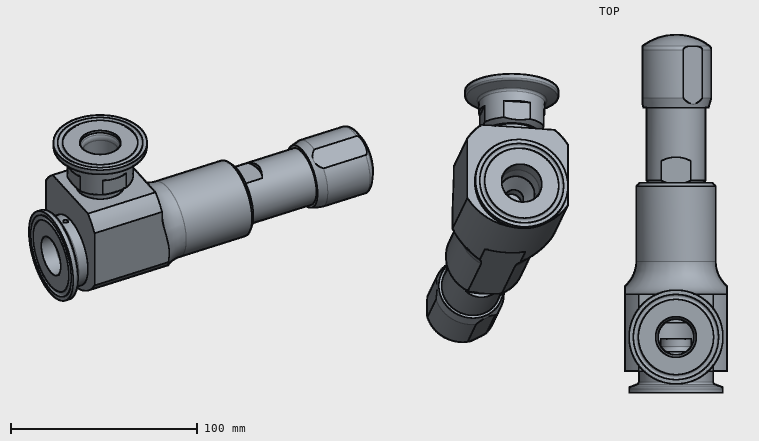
import cadquery as cq
import math


overall_length = 192.5
outlet_height = 65.0
outlet_y = 30.0
block_front = 11.7
block_rear = 53.0
housing_end = 113.0
cap_base = 153.2

flange_radius = 25.2
rim_thickness = 3.0
back_angle = 20.0
rim_round = 1.2
neck_round = 1.5
groove_center_radius = 21.5
groove_section_radius = 1.3
port_radius = 11.0
bore_radius = 9.6

inlet_neck_radius = 20.0
inlet_port_depth = 8.3
inlet_cone_start = 14.5
inlet_cone_end = 22.5
nozzle_bore_radius = 5.0
nozzle_radius = 8.0
nozzle_tip = 29.0
nozzle_root_round = 2.9
chamber_radius = 14.8
chamber_front = 22.1
chamber_rear = 37.7
weep_hole_radius = 1.3
weep_hole_y = 8.9
weep_hole_depth = 3.8

block_round_radius = 32.5
block_round_z = 11.4
block_width = 55.0
block_top = 37.0
barrel_radius = 21.4
barrel_chamfer = 2.0
shoulder_radius = 17.9
underside_flat_z = -19.2
underside_flat_start = 50.0

collar_radius = 17.7
collar_base = 43.1
collar_tip_radius = 14.2
collar_tip = 41.0
spigot_radius = 13.0
wrench_flat_distance = 16.2
wrench_flat_top = 52.5
outlet_port_depth = 1.5
outlet_cone_radius = 10.4
outlet_cone_end = 2.3
outlet_throat = 5.4

bonnet_radius = 16.0
bonnet_chamfer = 1.2
bonnet_flat_distance = 13.9
bonnet_flat_side = 124.5
bonnet_flat_crown = 126.7

cap_radius = 19.0
cap_base_radius = 17.5
cap_cone_end = 158.5
dome_radius = 29.8
cap_edge_round = 2.9
cap_flat_distance = 18.0
cap_flat_angles = (60, 180, 300)


def turned_about_y(profile):
    """Revolve a closed XY profile (radius, position) about the Y axis."""
    return profile.close().revolve(360, (0, 0, 0), (0, 1, 0))


def y_cylinder(radius, start, end):
    return cq.Workplane("XZ", origin=(0, start, 0)).circle(radius).extrude(start - end)


def box_between(low, high):
    size = [b - a for a, b in zip(low, high)]
    return cq.Workplane("XY").box(*size, centered=False).translate(low)


def round_circle(body, position, radius):
    """Fillet the circular edge centred on the Y axis at this position."""
    slack = 0.1
    low = (-slack, position - slack, -slack)
    high = (slack, position + slack, slack)
    return body.edges(cq.selectors.BoxSelector(low, high)).fillet(radius)


def clamp_ferrule(neck_radius, length):
    """Clamp flange with its neck; the face is at Y = 0 and the neck runs toward +Y."""
    back_rise = (flange_radius - neck_radius) * math.tan(math.radians(back_angle))
    neck_start = rim_thickness + back_rise
    blank = turned_about_y(
        cq.Workplane("XY").polyline([
            (0, 0),
            (flange_radius, 0),
            (flange_radius, rim_thickness),
            (neck_radius, neck_start),
            (neck_radius, length),
            (0, length),
        ])
    )
    blank = round_circle(blank, neck_start, neck_round)
    blank = round_circle(blank, rim_thickness, rim_round)
    groove = (
        cq.Workplane("XY").center(groove_center_radius, 0).circle(groove_section_radius)
        .revolve(360, (-groove_center_radius, 0, 0), (-groove_center_radius, 1, 0))
    )
    return blank.cut(groove)


def make_block():
    """Round bar with flat sides and top, running back under the shoulder and barrel."""
    bar = cq.Workplane("XZ", origin=(0, block_front, 0)).center(0, block_round_z)
    bar = bar.circle(block_round_radius).extrude(block_front - housing_end)
    half_width = block_width / 2
    envelope = box_between(
        (-half_width, block_front, block_round_z - block_round_radius),
        (half_width, housing_end, block_top),
    )
    section = bar.intersect(envelope)
    block = section.intersect(y_cylinder(overall_length, block_front, block_rear))

    shoulder_end = block_rear + shoulder_radius
    diagonal = shoulder_radius * (1 - math.sqrt(0.5))
    barrel = turned_about_y(
        cq.Workplane("XY")
        .moveTo(0, block_rear)
        .lineTo(barrel_radius + shoulder_radius, block_rear)
        .threePointArc((barrel_radius + diagonal, block_rear + diagonal), (barrel_radius, shoulder_end))
        .lineTo(barrel_radius, housing_end - barrel_chamfer)
        .lineTo(barrel_radius - barrel_chamfer, housing_end)
        .lineTo(0, housing_end)
    )
    return block.union(barrel.intersect(section))


def underside_flat():
    """Flat milled under the barrel, with a 45 degree run-out at the block."""
    depth = barrel_radius
    return (
        cq.Workplane("YZ")
        .polyline([
            (underside_flat_start, underside_flat_z),
            (housing_end, underside_flat_z),
            (housing_end, underside_flat_z - depth),
            (underside_flat_start - depth, underside_flat_z - depth),
        ])
        .close().extrude(block_width / 2, both=True)
    )


def valve_chamber():
    """Chamber around the nozzle, whose outside flares into the chamber floor."""
    root_end = chamber_front + nozzle_root_round
    diagonal = nozzle_root_round * (1 - math.sqrt(0.5))
    return turned_about_y(
        cq.Workplane("XY")
        .moveTo(0, nozzle_tip)
        .lineTo(nozzle_radius, nozzle_tip)
        .lineTo(nozzle_radius, root_end)
        .threePointArc(
            (nozzle_radius + diagonal, chamber_front + diagonal),
            (nozzle_radius + nozzle_root_round, chamber_front),
        )
        .lineTo(chamber_radius, chamber_front)
        .lineTo(chamber_radius, chamber_rear)
        .lineTo(0, chamber_rear)
    )


def inlet_bore():
    return turned_about_y(
        cq.Workplane("XY").polyline([
            (0, 0),
            (port_radius, 0),
            (port_radius, inlet_port_depth),
            (bore_radius, inlet_cone_start),
            (nozzle_bore_radius, inlet_cone_end),
            (nozzle_bore_radius, nozzle_tip),
            (0, nozzle_tip),
        ])
    )


def make_housing():
    body = make_block().union(clamp_ferrule(inlet_neck_radius, block_front))
    hole_base = nozzle_radius + nozzle_root_round
    outlet_hole = (
        cq.Workplane("XY", origin=(0, outlet_y, hole_base))
        .circle(bore_radius).extrude(block_top - hole_base)
    )
    weep_hole = (
        cq.Workplane("XY", origin=(0, weep_hole_y, inlet_neck_radius - weep_hole_depth))
        .circle(weep_hole_radius).extrude(weep_hole_depth)
    )
    for cutter in (underside_flat(), valve_chamber(), inlet_bore(), outlet_hole, weep_hole):
        body = body.cut(cutter)
    return body


def make_outlet_adapter():
    """Built with its clamp face at Y = 0 and body toward +Y, then turned to face up."""
    cone_start = outlet_height - collar_base
    cone_end = outlet_height - collar_tip
    seat = outlet_height - block_top
    flat_start = outlet_height - wrench_flat_top
    adapter = clamp_ferrule(collar_radius, cone_start)
    tip = turned_about_y(
        cq.Workplane("XY").polyline([
            (0, cone_start),
            (collar_radius, cone_start),
            (collar_tip_radius, cone_end),
            (spigot_radius, cone_end),
            (spigot_radius, seat),
            (0, seat),
        ])
    )
    adapter = adapter.union(tip)
    square = 2 * wrench_flat_distance
    flats = (
        cq.Workplane("XZ", origin=(0, flat_start, 0))
        .circle(flange_radius).rect(square, square).extrude(flat_start - seat)
    )
    bore = turned_about_y(
        cq.Workplane("XY")
        .lineTo(port_radius, 0)
        .lineTo(port_radius, outlet_port_depth)
        .lineTo(outlet_cone_radius, outlet_cone_end)
        .tangentArcPoint((bore_radius, outlet_throat), relative=False)
        .lineTo(bore_radius, seat)
        .lineTo(0, seat)
    )
    adapter = adapter.cut(flats).cut(bore)
    return adapter.rotate((0, 0, 0), (1, 0, 0), -90).translate((0, outlet_y, outlet_height))


def make_bonnet():
    """Plain round bonnet with two opposite round-ended flats above and below."""
    bonnet = y_cylinder(bonnet_radius, housing_end, cap_base).faces("<Y").chamfer(bonnet_chamfer)
    half_width = math.sqrt(bonnet_radius**2 - bonnet_flat_distance**2)
    flat = (
        cq.Workplane("XY", origin=(0, 0, bonnet_flat_distance))
        .moveTo(-half_width, housing_end)
        .lineTo(half_width, housing_end)
        .lineTo(half_width, bonnet_flat_side)
        .threePointArc((0, bonnet_flat_crown), (-half_width, bonnet_flat_side))
        .close().extrude(bonnet_radius - bonnet_flat_distance)
    )
    return bonnet.cut(flat).cut(flat.mirror("XY"))


def make_cap():
    """Domed cap with a conical skirt and three wrench flats."""
    dome_center = overall_length - dome_radius
    dome_edge = dome_center + math.sqrt(dome_radius**2 - cap_radius**2)
    half_radius = cap_radius / 2
    dome_middle = dome_center + math.sqrt(dome_radius**2 - half_radius**2)
    cap = turned_about_y(
        cq.Workplane("XY")
        .moveTo(0, cap_base)
        .lineTo(cap_base_radius, cap_base)
        .lineTo(cap_radius, cap_cone_end)
        .lineTo(cap_radius, dome_edge)
        .threePointArc((half_radius, dome_middle), (0, overall_length))
    )
    cap = round_circle(cap, dome_edge, cap_edge_round)
    for angle in cap_flat_angles:
        slab = box_between(
            (cap_flat_distance, cap_base, -cap_radius),
            (cap_radius, overall_length, cap_radius),
        )
        cap = cap.cut(slab.rotate((0, 0, 0), (0, 1, 0), -angle))
    return cap


housing = make_housing()
outlet_adapter = make_outlet_adapter()
bonnet = make_bonnet()
cap = make_cap()

result = cq.Compound.makeCompound([housing.val(), outlet_adapter.val(), bonnet.val(), cap.val()])